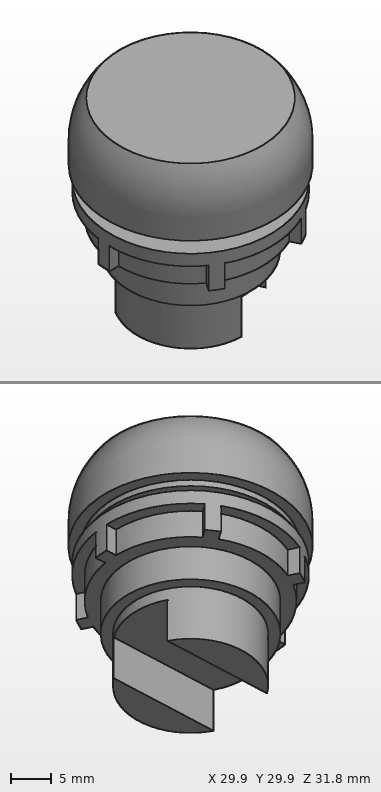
import cadquery as cq
import math

head_radius = 14.95
head_top_radius = 12.75
head_bottom = 21.4
dome_bottom = 25.28
total_height = 31.8

collar_radius = 13.48
collar_bottom = 20.48

barrel_radius = 11.0
barrel_bottom = 8.0
tail_radius = 9.5
slot_width = 10.0
slot_depth = 6.3

nut_bottom = 13.05
flange_bottom = 17.0
nut_top = 19.02
flange_radius = 14.5
nut_core_radius = 12.97
tab_width = 2.0
tab_count = 6


def disc(radius, bottom, top):
    """Solid cylinder on the Z axis between two heights."""
    return cq.Workplane("XY").workplane(offset=bottom).circle(radius).extrude(top - bottom)


def make_dome():
    """Revolved dome whose arc starts vertically at the rim."""
    inset = head_radius - head_top_radius
    rise = total_height - dome_bottom
    arc_radius = (inset**2 + rise**2) / (2 * inset)
    half_angle = math.asin(rise / arc_radius) / 2
    arc_center = head_radius - arc_radius
    arc_middle = (
        arc_center + arc_radius * math.cos(half_angle),
        dome_bottom + arc_radius * math.sin(half_angle),
    )
    return (
        cq.Workplane("XZ")
        .moveTo(0, dome_bottom)
        .lineTo(head_radius, dome_bottom)
        .threePointArc(arc_middle, (head_top_radius, total_height))
        .lineTo(0, total_height)
        .close()
        .revolve(360, (0, 0, 0), (0, 1, 0))
    )


def make_tail():
    """Tail split into two legs by a slot running along X."""
    slot = cq.Workplane("XY").box(2 * tail_radius, slot_width, slot_depth, centered=(True, True, False))
    return disc(tail_radius, 0, barrel_bottom).cut(slot)


def make_button():
    """Head, collar, barrel and tail as one solid."""
    return (
        disc(barrel_radius, barrel_bottom, collar_bottom)
        .union(disc(collar_radius, collar_bottom, head_bottom))
        .union(disc(head_radius, head_bottom, dome_bottom))
        .union(make_dome())
        .union(make_tail())
    )


def make_nut():
    """Flanged nut with parallel-sided grip tabs, bored to fit the barrel."""
    tab_blank = (
        cq.Workplane("XY")
        .workplane(offset=nut_bottom)
        .rect(2 * flange_radius, tab_width)
        .extrude(flange_bottom - nut_bottom)
    )
    tabs_envelope = disc(flange_radius, nut_bottom, flange_bottom)
    nut = disc(nut_core_radius, nut_bottom, flange_bottom)
    nut = nut.union(disc(flange_radius, flange_bottom, nut_top))
    for index in range(tab_count // 2):
        tab_pair = tab_blank.rotate((0, 0, 0), (0, 0, 1), index * 360 / tab_count)
        nut = nut.union(tab_pair.intersect(tabs_envelope))
    return nut.cut(disc(barrel_radius, nut_bottom, nut_top))


button = make_button()
nut = make_nut()
result = cq.Compound.makeCompound([button.solids().val(), nut.solids().val()])